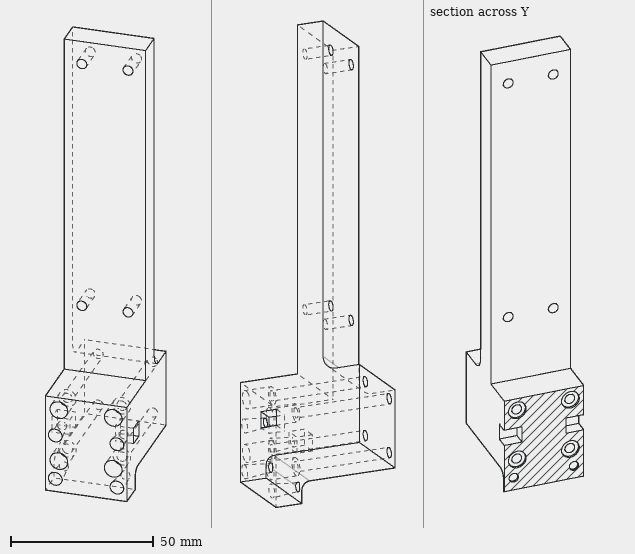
import cadquery as cq

width = 30.0
depth = 46.0
height = 166.8

lip_thickness = 10.0
lip_height = 8.0
lip_fillet = 3.0
block_top = 37.0
plate_front = 22.0
plate_thickness = 10.0
plate_back = plate_front + plate_thickness
plate_fillet = 5.0

plate_hole_diameter = 3.7
plate_hole_spacing = 17.0
plate_hole_top = height - 8.8
plate_hole_pitch = 95.0

screw_diameter = 3.7
screw_head_diameter = 6.5
screw_head_depth = 10.0
screw_spacing = 20.0
screw_top = 32.2
screw_pitch = 20.0

edge_hole_diameter = 3.3
edge_mouth_diameter = 5.0
edge_hole_spacing = 22.7
lip_hole_height = 5.0
nut_hole_height = 22.0

pocket_size = 6.0
pocket_front = 8.0
pocket_depth = 6.7
edge_taper_depth = pocket_front


def bracket_body():
    """Extrude the side profile across the width and round its inner corners."""
    profile = [
        (0, 0),
        (lip_thickness, 0),
        (lip_thickness, lip_height),
        (depth, lip_height),
        (depth, block_top),
        (plate_back, block_top),
        (plate_back, height),
        (plate_front, height),
        (plate_front, block_top),
        (0, block_top),
    ]
    body = cq.Workplane("YZ").polyline(profile).close().extrude(width / 2, both=True)
    body = fillet_corner(body, plate_back, block_top, plate_fillet)
    return fillet_corner(body, lip_thickness, lip_height, lip_fillet)


def fillet_corner(body, y, z, radius):
    """Round the edge along X that passes through the given corner."""
    corner = cq.selectors.NearestToPointSelector((0, y, z))
    return body.edges("|X").edges(corner).fillet(radius)


def bores(diameter, spacing, heights, length):
    """Mirrored bores running back from the front face at each height."""
    points = [(side * spacing / 2, z) for z in heights for side in (-1, 1)]
    return cq.Workplane("XZ").pushPoints(points).circle(diameter / 2).extrude(-length)


def edge_tapers(heights):
    """Cones narrowing from the front face to the edge hole diameter."""
    points = [(side * edge_hole_spacing / 2, z) for z in heights for side in (-1, 1)]
    mouth_radius = edge_mouth_diameter / 2
    end_radius = edge_hole_diameter / 2
    back = cq.Vector(0, 1, 0)
    tapers = cq.Workplane("XY")
    for x, z in points:
        mouth = cq.Vector(x, 0, z)
        tapers = tapers.add(cq.Solid.makeCone(mouth_radius, end_radius, edge_taper_depth, mouth, back))
    return tapers.combine()


def nut_pocket(side):
    """Square blind pocket in the left (-1) or right (1) side face."""
    return cq.Workplane("XY").box(pocket_depth, pocket_size, pocket_size).translate((
        side * (width - pocket_depth) / 2,
        pocket_front + pocket_size / 2,
        nut_hole_height,
    ))


plate_heights = [plate_hole_top, plate_hole_top - plate_hole_pitch]
screw_heights = [screw_top, screw_top - screw_pitch]
edge_heights = [nut_hole_height, lip_hole_height]

result = bracket_body()
result = result.cut(bores(plate_hole_diameter, plate_hole_spacing, plate_heights, depth))
result = result.cut(bores(screw_diameter, screw_spacing, screw_heights, depth))
result = result.cut(bores(screw_head_diameter, screw_spacing, screw_heights, screw_head_depth))
result = result.cut(bores(edge_hole_diameter, edge_hole_spacing, [lip_hole_height], depth))
result = result.cut(edge_tapers(edge_heights))
for pocket_side in (-1, 1):
    result = result.cut(nut_pocket(pocket_side))